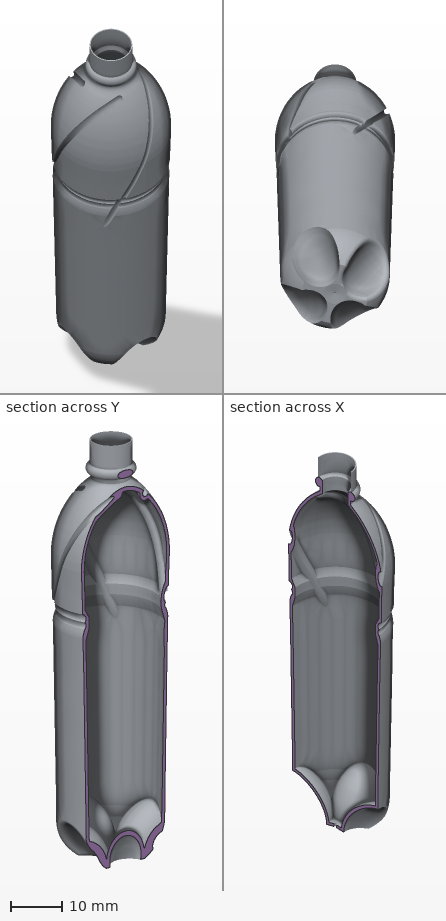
import cadquery as cq
import math

HEIGHT = 86.74
BODY_RADIUS = 11.71
WALL = 0.75

NECK_RADIUS = 4.17
NECK_BOTTOM = 81.9
COLLAR_RADIUS = 4.96
COLLAR_BOTTOM = 79.75
COLLAR_ROUND = 0.7
THROAT_RADIUS = 3.9
THROAT_BOTTOM = 78.8
BORE_RADIUS = THROAT_RADIUS - WALL
MOUTH_RADIUS = 3.95
MOUTH_DEPTH = 4.7
MOUTH_TAPER = 0.4

SHOULDER_BOTTOM = 62.7
SHOULDER_RISE = THROAT_BOTTOM - SHOULDER_BOTTOM
SHOULDER_INSET = BODY_RADIUS - THROAT_RADIUS
SHOULDER_ARC = (SHOULDER_RISE**2 + SHOULDER_INSET**2) / (2 * SHOULDER_INSET)

WAIST_TOP = 54.0
WAIST_TOP_RADIUS = 11.5
UPPER_HOLLOW_HEIGHT = 53.0
RIDGE_HEIGHT = 52.2
RIDGE_RADIUS = 10.95
HOLLOW_RADIUS = 10.65
WAIST_BOTTOM = 50.8
LABEL_TOP = 49.0
LABEL_TOP_RADIUS = 11.35

LABEL_BOTTOM = 7.1
LABEL_BOTTOM_RADIUS = 10.65
HEEL_BOTTOM = 4.9
HEEL_RADIUS = 10.15
FOOT_RADIUS = 6.5
FOOT_BULGE = 0.35
SOFT_BULGE = 0.08
DIMPLE_RADIUS = 2.2
DIMPLE_DEPTH = 0.35
VENT_RADIUS = 0.25

SCOOP_COUNT = 4
SCOOP_HALF_LENGTH = 7.5
SCOOP_HALF_WIDTH = 4.8
SCOOP_TILT = 45
SCOOP_CENTRE_RADIUS = 8.5
SCOOP_CENTRE_HEIGHT = 2.9
SCOOP_EDGE_ROUND = 0.7

GROOVE_COUNT = 4
GROOVE_RADIUS = 0.65
GROOVE_TOP = 77.1
GROOVE_TOP_OFFSET = 5.4
GROOVE_BOTTOM = 45.5
GROOVE_BOTTOM_OFFSET = -8.1
GROOVE_STATIONS = [(0, 0.1), (0.25, 0.1), (0.5, 0.25), (0.78, 0.6), (1, -0.3)]


def shoulder_radius(z):
    """Outside radius of the shoulder and of the straight part below it."""
    rise = max(z - SHOULDER_BOTTOM, 0)
    return BODY_RADIUS - SHOULDER_ARC + math.sqrt(SHOULDER_ARC**2 - rise**2)


def outer_body():
    shoulder_mid = (THROAT_BOTTOM + SHOULDER_BOTTOM) / 2
    collar_mid = (NECK_BOTTOM + COLLAR_BOTTOM) / 2
    foot_mid = ((HEEL_RADIUS + FOOT_RADIUS) / 2 + FOOT_BULGE, HEEL_BOTTOM / 2 - FOOT_BULGE)
    heel_mid = ((LABEL_BOTTOM_RADIUS + HEEL_RADIUS) / 2 + SOFT_BULGE, (LABEL_BOTTOM + HEEL_BOTTOM) / 2)
    waist_rise = (WAIST_BOTTOM + LABEL_TOP) / 2
    waist_rise_radius = (RIDGE_RADIUS + LABEL_TOP_RADIUS) / 2 + SOFT_BULGE
    profile = (
        cq.Workplane("XZ")
        .moveTo(0, DIMPLE_DEPTH)
        .lineTo(DIMPLE_RADIUS, 0)
        .lineTo(FOOT_RADIUS, 0)
        .threePointArc(foot_mid, (HEEL_RADIUS, HEEL_BOTTOM))
        .threePointArc(heel_mid, (LABEL_BOTTOM_RADIUS, LABEL_BOTTOM))
        .lineTo(LABEL_TOP_RADIUS, LABEL_TOP)
        .threePointArc((waist_rise_radius, waist_rise), (RIDGE_RADIUS, WAIST_BOTTOM))
        .threePointArc((HOLLOW_RADIUS, (WAIST_BOTTOM + RIDGE_HEIGHT) / 2), (RIDGE_RADIUS, RIDGE_HEIGHT))
        .threePointArc((HOLLOW_RADIUS, UPPER_HOLLOW_HEIGHT), (WAIST_TOP_RADIUS, WAIST_TOP))
        .lineTo(BODY_RADIUS, SHOULDER_BOTTOM)
        .threePointArc((shoulder_radius(shoulder_mid), shoulder_mid), (THROAT_RADIUS, THROAT_BOTTOM))
        .lineTo(THROAT_RADIUS, COLLAR_BOTTOM)
        .lineTo(COLLAR_RADIUS - COLLAR_ROUND, COLLAR_BOTTOM)
        .threePointArc((COLLAR_RADIUS, collar_mid), (COLLAR_RADIUS - COLLAR_ROUND, NECK_BOTTOM))
        .lineTo(NECK_RADIUS, NECK_BOTTOM)
        .lineTo(NECK_RADIUS, HEIGHT)
        .lineTo(0, HEIGHT)
        .close()
    )
    return profile.revolve(360, (0, 0, 0), (0, 1, 0))


def inner_body():
    """The cavity, one wall thickness inside the bottle below the neck."""
    straight_radius = BODY_RADIUS - WALL
    waist_radius = HOLLOW_RADIUS - WALL
    shoulder_mid = (THROAT_BOTTOM + SHOULDER_BOTTOM) / 2
    foot_mid = (
        (HEEL_RADIUS + FOOT_RADIUS) / 2 + FOOT_BULGE - WALL,
        HEEL_BOTTOM / 2 - FOOT_BULGE + WALL,
    )
    profile = (
        cq.Workplane("XZ")
        .moveTo(0, WALL + DIMPLE_DEPTH)
        .lineTo(DIMPLE_RADIUS, WALL)
        .lineTo(FOOT_RADIUS - WALL, WALL)
        .threePointArc(foot_mid, (HEEL_RADIUS - WALL, HEEL_BOTTOM))
        .lineTo(LABEL_BOTTOM_RADIUS - WALL, LABEL_BOTTOM)
        .lineTo(LABEL_TOP_RADIUS - WALL, LABEL_TOP - WALL)
        .lineTo(waist_radius, WAIST_BOTTOM)
        .lineTo(waist_radius, UPPER_HOLLOW_HEIGHT)
        .lineTo(WAIST_TOP_RADIUS - WALL, WAIST_TOP + WALL)
        .lineTo(straight_radius, SHOULDER_BOTTOM)
        .threePointArc(
            (shoulder_radius(shoulder_mid) - WALL, shoulder_mid),
            (BORE_RADIUS, THROAT_BOTTOM - WALL / 2),
        )
        .lineTo(BORE_RADIUS, COLLAR_BOTTOM)
        .lineTo(0, COLLAR_BOTTOM)
        .close()
    )
    return profile.revolve(360, (0, 0, 0), (0, 1, 0))


def mouth():
    """The bore of the neck: wide at the lip, tapering to the throat."""
    mouth_bottom = HEIGHT - MOUTH_DEPTH
    profile = (
        cq.Workplane("XZ")
        .moveTo(0, COLLAR_BOTTOM)
        .lineTo(BORE_RADIUS, COLLAR_BOTTOM)
        .lineTo(BORE_RADIUS, mouth_bottom - MOUTH_TAPER)
        .lineTo(MOUTH_RADIUS, mouth_bottom)
        .lineTo(MOUTH_RADIUS, HEIGHT)
        .lineTo(0, HEIGHT)
        .close()
    )
    return profile.revolve(360, (0, 0, 0), (0, 1, 0)).val()


def vent():
    """A pinhole through the middle of the base."""
    return cq.Workplane("XY").circle(VENT_RADIUS).extrude(LABEL_BOTTOM).val()


def scoop(growth):
    """The scoop on the -Y side, a tilted spheroid enlarged by `growth`."""
    half_length = SCOOP_HALF_LENGTH + growth
    spheroid = (
        cq.Workplane("XY")
        .moveTo(0, -half_length)
        .ellipseArc(SCOOP_HALF_WIDTH + growth, half_length, -90, 90, 0)
        .close()
        .revolve(360, (0, 0, 0), (0, 1, 0))
    )
    tilted = spheroid.rotate((0, 0, 0), (1, 0, 0), -SCOOP_TILT)
    return tilted.translate((0, -SCOOP_CENTRE_RADIUS, SCOOP_CENTRE_HEIGHT))


def groove(growth):
    """The groove crossing the -Y side, as a bar with a round top end, enlarged by `growth`."""
    points = []
    for share, inset in GROOVE_STATIONS:
        z = GROOVE_TOP + share * (GROOVE_BOTTOM - GROOVE_TOP)
        x = GROOVE_TOP_OFFSET + share * (GROOVE_BOTTOM_OFFSET - GROOVE_TOP_OFFSET)
        radius = shoulder_radius(z) - inset
        points.append(cq.Vector(x, -math.sqrt(radius**2 - x**2), z))
    path = cq.Edge.makeSpline(points)
    start = cq.Plane(origin=points[0], normal=path.tangentAt(0))
    bar = cq.Workplane(start).circle(GROOVE_RADIUS + growth).sweep(cq.Workplane(path))
    rounded_top = cq.Workplane("XY", origin=points[0]).sphere(GROOVE_RADIUS + growth)
    return bar.union(rounded_top)


def all_around(cutter, count):
    """Copies of a cutter, evenly spaced about the bottle axis."""
    return [cutter.rotate((0, 0, 0), (0, 0, 1), i * 360 / count).val() for i in range(count)]


def cut_rounded_scoop(body, cutter):
    """Cut the -X scoop and round all its edges."""
    scooped = body.cut(cutter)
    rim = [edge for edge in scooped.Edges() if is_on_scoop_rim(edge)]
    return scooped.fillet(SCOOP_EDGE_ROUND, rim)


def is_on_scoop_rim(edge):
    """Edges of the -X scoop lie wholly on the -X side; the turned edges go all round."""
    box = edge.BoundingBox()
    return box.xmax < -DIMPLE_RADIUS / 2 and box.ylen < 2 * SCOOP_HALF_WIDTH + WALL


scoops = all_around(scoop(0), SCOOP_COUNT)
outer = cut_rounded_scoop(outer_body().val(), scoops.pop())
outer = outer.cut(*scoops)
outer = outer.cut(*all_around(groove(0), GROOVE_COUNT))
cavity = inner_body().val().cut(*all_around(scoop(WALL), SCOOP_COUNT))
cavity = cavity.cut(*all_around(groove(WALL), GROOVE_COUNT))
hollow = outer.Solids()[0].addCavity(*cavity.Solids())
result = cq.Workplane(hollow.cut(mouth(), vent()))